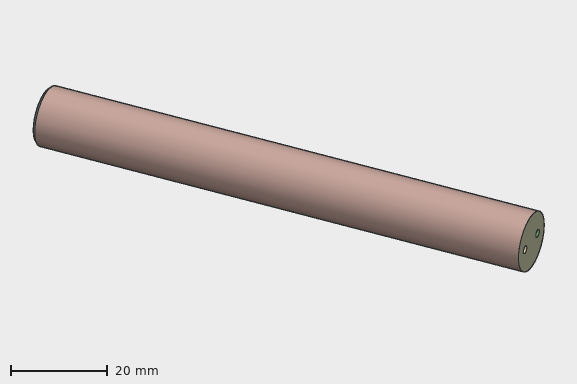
import cadquery as cq
import math

rod_length = 110.0
rod_diameter = 13.0
end_chamfer = 0.65

channel_count = 2
channel_diameter = 1.7
channel_circle_diameter = 6.3
channel_start_angle = -19.0
surface_helix_angle = 30.0
channel_pitch = math.pi * rod_diameter / math.tan(math.radians(surface_helix_angle))
channel_twist = 360.0 * rod_length / channel_pitch


def make_rod():
    """Rod along +X from the origin, with its edge at X = 0 chamfered."""
    rod = cq.Workplane("YZ").circle(rod_diameter / 2).extrude(rod_length)
    return rod.faces("<X").edges().chamfer(end_chamfer)


def make_channel(start_angle):
    """Round section twisted about the rod axis along the whole rod."""
    angle = math.radians(start_angle)
    centre_radius = channel_circle_diameter / 2
    centre_y = centre_radius * math.cos(angle)
    centre_z = centre_radius * math.sin(angle)
    section = cq.Workplane("YZ").moveTo(centre_y, centre_z).circle(channel_diameter / 2)
    return section.twistExtrude(rod_length, channel_twist)


result = make_rod()
for index in range(channel_count):
    start_angle = channel_start_angle + index * 360.0 / channel_count
    result = result.cut(make_channel(start_angle))